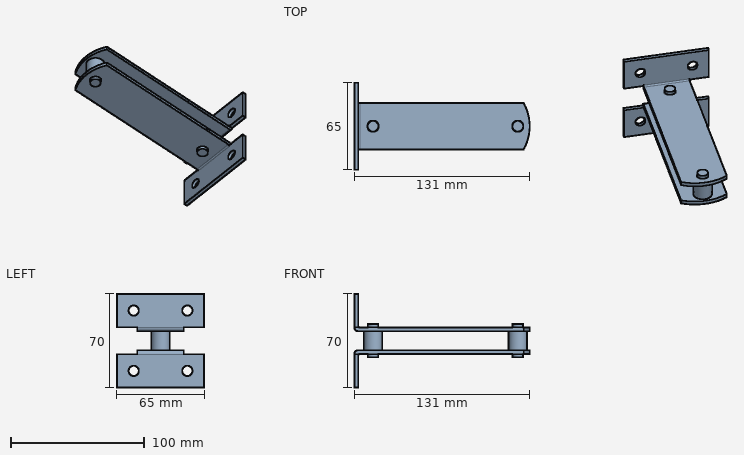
import cadquery as cq
import math

sheet = 3.0
bracket_length = 131.0
strap_width = 35.0
end_radius = 35.0
flange_width = 65.0
flange_height = 25.0
bend_outer_radius = 3.0
bend_inner_radius = 1.0

screw_hole_diameter = 7.5
screw_hole_spacing = 40.0

pin_diameter = 8.0
pin_length = 25.0
pin_hole_diameter = 8.5
shoulder_diameter = 14.0
strap_gap = 14.0
first_pin_x = 14.0
pin_spacing = 108.0
pin_positions = [(first_pin_x, 0), (first_pin_x + pin_spacing, 0)]

strap_inner_z = strap_gap / 2
strap_outer_z = strap_inner_z + sheet
flange_middle_z = strap_outer_z + flange_height / 2


def make_strap():
    """Flat strap with a rounded bend edge, an arc end and two pin holes."""
    half_width = strap_width / 2
    end_rise = end_radius - math.sqrt(end_radius**2 - half_width**2)
    corner_x = bracket_length - end_rise
    strap = (
        cq.Workplane("XY", origin=(0, 0, strap_inner_z))
        .moveTo(0, -half_width)
        .lineTo(corner_x, -half_width)
        .threePointArc((bracket_length, 0), (corner_x, half_width))
        .lineTo(0, half_width)
        .close()
        .extrude(sheet)
    )
    pin_holes = (
        cq.Workplane("XY", origin=(0, 0, strap_inner_z))
        .pushPoints(pin_positions)
        .circle(pin_hole_diameter / 2)
        .extrude(sheet)
    )
    return strap.cut(pin_holes)


def make_flange():
    """Upright plate, wider than the strap, with two screw holes."""
    flange = cq.Workplane("XY").box(sheet, flange_width, flange_height)
    flange = (
        flange.faces("<X")
        .workplane(centerOption="CenterOfBoundBox")
        .rarray(screw_hole_spacing, 1, 2, 1)
        .hole(screw_hole_diameter)
    )
    return flange.translate((sheet / 2, 0, flange_middle_z))


def make_bend_fillet():
    """Concave fillet in the inner corner between flange and strap."""
    tangent_x = sheet + bend_inner_radius
    tangent_z = strap_outer_z + bend_inner_radius
    arc_offset = bend_inner_radius * math.sqrt(0.5)
    return (
        cq.Workplane("XZ")
        .moveTo(sheet, strap_outer_z)
        .lineTo(tangent_x, strap_outer_z)
        .threePointArc((tangent_x - arc_offset, tangent_z - arc_offset), (sheet, tangent_z))
        .close()
        .extrude(strap_width / 2, both=True)
    )


def make_bend_corner_cut():
    """Waste outside the rounded outer edge of the bend."""
    arc_offset = bend_outer_radius * math.sqrt(0.5)
    arc_middle = (bend_outer_radius - arc_offset, strap_inner_z + bend_outer_radius - arc_offset)
    return (
        cq.Workplane("XZ")
        .moveTo(0, strap_inner_z)
        .lineTo(bend_outer_radius, strap_inner_z)
        .threePointArc(arc_middle, (0, strap_inner_z + bend_outer_radius))
        .close()
        .extrude(strap_width / 2, both=True)
    )


def make_upper_bracket():
    """L-shaped bracket with its flange pointing up."""
    strap = make_strap().cut(make_bend_corner_cut())
    return strap.union(make_flange()).union(make_bend_fillet())


def make_pin(position):
    """Pin with a thicker shoulder that keeps the straps apart."""
    pin = cq.Workplane("XY").cylinder(pin_length, pin_diameter / 2)
    shoulder = cq.Workplane("XY").cylinder(strap_gap, shoulder_diameter / 2)
    return pin.union(shoulder).translate((*position, 0))


upper_bracket = make_upper_bracket()
lower_bracket = upper_bracket.mirror("XY")
pins = [make_pin(position) for position in pin_positions]

result = cq.Compound.makeCompound(
    [upper_bracket.solids().val(), lower_bracket.solids().val(), *[pin.solids().val() for pin in pins]]
)